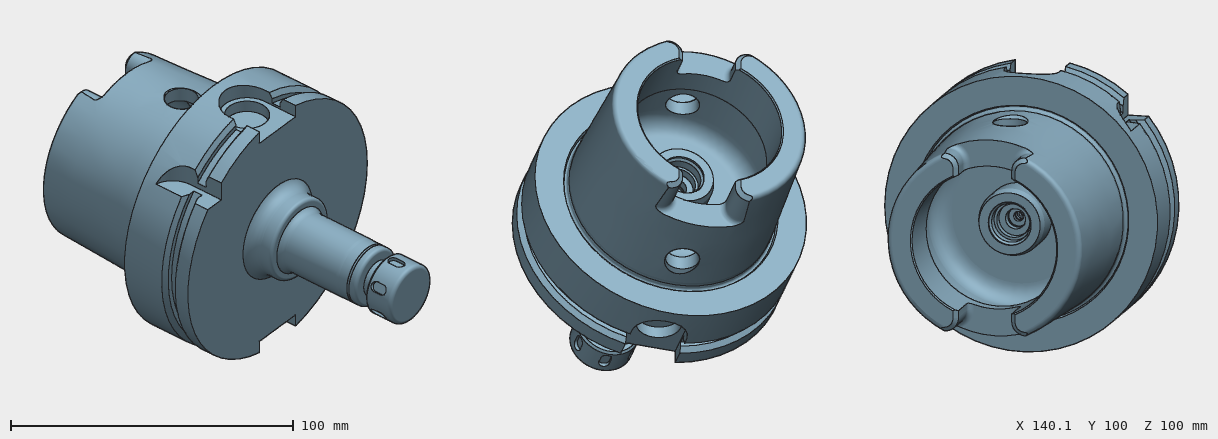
import cadquery as cq
import math


shank_length = 50.0
gauge_distance = 10.0
gauge_radius = 37.5
taper_slope = 1 / 19.96
shank_rim_radius = 1.9

relief_start = -2.5
relief_floor_start = -1.6
relief_floor_end = -0.8
relief_depth = 0.15
face_groove_outer_radius = 39.5
face_groove_fillet = 1.0

flange_radius = 50.0
flange_width = 29.0
groove_start = 17.0
groove_end = 23.2
groove_bevel_width = 1.25
groove_bevel_height = groove_bevel_width * math.tan(math.radians(60))
groove_root_radius = 46.0

neck_radius = 16.0
neck_fillet_end = 34.2
neck_fillet_start_radius = 19.3
neck_end = 39.2
neck_corner_radius = 1.3

nose_radius = 11.5
nose_fillet_start_radius = 12.9
nose_fillet_end = 42.2
nose_cone_start = 65.0
nose_cone_end = 66.2
nose_front_radius = 11.4
nose_ring_start = 70.0
nose_ring_end = 70.9
nose_ring_depth = 0.1
nose_end = 74.15
nose_corner_radius = 1.3
stem_radius = 7.0

nut_start = 78.5
nut_end = 90.1
nut_back_chamfer = 0.8
nut_front_radius = 1.5
nut_slot_count = 6
nut_slot_center = 83.4
nut_slot_length = 6.6
nut_slot_width = 3.8
nut_slot_depth = 1.4

bore_radius = 26.5
bore_mouth_chamfer = 0.5
chamber_start = -30.5
chamber_radius = 31.5
chamber_floor = -3.0
chamber_floor_fillet = 7.0

boss_radius = 12.1
boss_tip = -15.5
boss_shoulder = -12.7
boss_tip_radius = 11.2
socket_mouth_radius = 15.65 / 2
socket_chamfer = 0.8
coolant_steps = [
    (socket_mouth_radius - socket_chamfer, 5.0),
    (12.1 / 2, 8.0),
    (7.3 / 2, 11.0),
    (7.0 / 2, 12.0),
    (3.5 / 2, 14.0),
    (3.0 / 2, 16.0),
    (1.7 / 2, 18.0),
]

drive_slot_half_width = 9.75
drive_slot_corner_height = 27.3
drive_slot_corner_radius = 5.0
drive_slot_floor_fillet = 2.1
drive_slot_chamfer_width = 1.65
drive_slot_chamfer_depth = 1.4
drive_slot_depth_top = 10.0
drive_slot_depth_bottom = 15.0

cross_hole_radius = 6.0
cross_hole_position = -15.0
countersink_start = 36.65
countersink_half_angle = 60.0

keyway_radius = 10.0
keyway_center = 15.0
keyway_floor = 44.0
keyway_hole_radius = 8.0
keyway_hole_depth = 4.6
notch_wall = 31.4


def shank_radius(x):
    """Radius of the taper at position x."""
    return gauge_radius + taper_slope * (x + gauge_distance)


def tangent_fillet_radius(width, height):
    """Radius of an arc that leaves a straight line tangentially and rises by height over width."""
    return (width**2 + height**2) / (2 * height)


def disc(x, radius, length):
    """Cylinder about the X axis that starts at x."""
    return cq.Workplane("YZ", origin=(x, 0, 0)).circle(radius).extrude(length)


def revolve_about_x(profile):
    return profile.close().revolve(360, (0, 0, 0), (1, 0, 0))


def make_shank():
    tip = -shank_length
    relief_radius = shank_radius(relief_start) - relief_depth
    profile = (
        cq.Workplane("XY")
        .moveTo(tip, 0)
        .lineTo(tip, shank_radius(tip))
        .lineTo(relief_start, shank_radius(relief_start))
        .lineTo(relief_floor_start, relief_radius)
        .lineTo(relief_floor_end, relief_radius)
        .lineTo(0, shank_radius(0))
        .lineTo(0, 0)
    )
    return revolve_about_x(profile)


def drive_slot_outline(workplane, side, growth):
    """Draw the slot outline, widened on all sides by growth, with round corners on the lugs."""
    width = drive_slot_half_width + growth
    corner = drive_slot_corner_radius - growth
    start = drive_slot_corner_height - 2 * drive_slot_corner_radius
    shoulder = drive_slot_corner_height + corner
    reach = flange_radius
    bend = corner * math.sqrt(0.5)
    bend_y = width + corner - bend
    bend_z = drive_slot_corner_height + bend
    return (
        workplane.moveTo(-width, side * start)
        .lineTo(-width, side * drive_slot_corner_height)
        .threePointArc((-bend_y, side * bend_z), (-width - corner, side * shoulder))
        .lineTo(-reach, side * shoulder)
        .lineTo(-reach, side * reach)
        .lineTo(reach, side * reach)
        .lineTo(reach, side * shoulder)
        .lineTo(width + corner, side * shoulder)
        .threePointArc((bend_y, side * bend_z), (width, side * drive_slot_corner_height))
        .lineTo(width, side * start)
        .close()
    )


def drive_slot(side, depth):
    """Cutter for one slot; side is +1 for the top slot and -1 for the bottom slot."""
    mouth = cq.Workplane("YZ", origin=(-shank_length, 0, 0))
    slot = drive_slot_outline(mouth, side, 0).extrude(depth)
    slot = slot.faces(">X").edges().fillet(drive_slot_floor_fillet)
    flare = drive_slot_outline(mouth, side, drive_slot_chamfer_width)
    flare = flare.workplane(offset=drive_slot_chamfer_depth)
    flare = drive_slot_outline(flare, side, 0).loft(ruled=True)
    return slot.union(flare)


def make_flange_and_nose():
    neck_fillet = tangent_fillet_radius(
        neck_fillet_end - flange_width, neck_fillet_start_radius - neck_radius
    )
    nose_fillet = tangent_fillet_radius(
        nose_fillet_end - neck_end, nose_fillet_start_radius - nose_radius
    )
    bevel_root = flange_radius - groove_bevel_height
    nose_ring_radius = nose_front_radius - nose_ring_depth
    profile = (
        cq.Workplane("XY")
        .moveTo(0, 0)
        .lineTo(0, flange_radius)
        .lineTo(groove_start, flange_radius)
        .lineTo(groove_start + groove_bevel_width, bevel_root)
        .lineTo(groove_start + groove_bevel_width, groove_root_radius)
        .lineTo(groove_end - groove_bevel_width, groove_root_radius)
        .lineTo(groove_end - groove_bevel_width, bevel_root)
        .lineTo(groove_end, flange_radius)
        .lineTo(flange_width, flange_radius)
        .lineTo(flange_width, neck_fillet_start_radius)
        .radiusArc((neck_fillet_end, neck_radius), -neck_fillet)
        .lineTo(neck_end - neck_corner_radius, neck_radius)
        .radiusArc((neck_end, neck_radius - neck_corner_radius), neck_corner_radius)
        .lineTo(neck_end, nose_fillet_start_radius)
        .radiusArc((nose_fillet_end, nose_radius), -nose_fillet)
        .lineTo(nose_cone_start, nose_radius)
        .lineTo(nose_cone_end, nose_front_radius)
        .lineTo(nose_ring_start, nose_front_radius)
        .lineTo(nose_ring_start, nose_ring_radius)
        .lineTo(nose_ring_end, nose_ring_radius)
        .lineTo(nose_ring_end, nose_front_radius)
        .lineTo(nose_end - nose_corner_radius, nose_front_radius)
        .radiusArc((nose_end, nose_front_radius - nose_corner_radius), nose_corner_radius)
        .lineTo(nose_end, stem_radius)
        .lineTo(nut_start, stem_radius)
        .lineTo(nut_start, 0)
    )
    return revolve_about_x(profile)


def make_nut():
    nut = disc(nut_start, nose_radius, nut_end - nut_start)
    nut = nut.faces("<X").edges().chamfer(nut_back_chamfer)
    nut = nut.faces(">X").edges().fillet(nut_front_radius)
    slot = (
        cq.Workplane("XY", origin=(nut_slot_center, 0, nose_radius - nut_slot_depth))
        .slot2D(nut_slot_length, nut_slot_width)
        .extrude(2 * nut_slot_depth)
    )
    for index in range(nut_slot_count):
        angle = index * 360 / nut_slot_count
        nut = nut.cut(slot.rotate((0, 0, 0), (1, 0, 0), angle))
    return nut


def make_bore():
    """Cutter for the hollow of the shank; the coolant boss stays standing on its floor."""
    tip = -shank_length
    profile = (
        cq.Workplane("XY")
        .moveTo(tip, 0)
        .lineTo(tip, bore_radius + bore_mouth_chamfer)
        .lineTo(tip + bore_mouth_chamfer, bore_radius)
        .lineTo(chamber_start, bore_radius)
        .lineTo(chamber_start, chamber_radius)
        .lineTo(chamber_floor - chamber_floor_fillet, chamber_radius)
        .radiusArc((chamber_floor, chamber_radius - chamber_floor_fillet), chamber_floor_fillet)
        .lineTo(chamber_floor, boss_radius)
        .lineTo(boss_shoulder, boss_radius)
        .lineTo(boss_tip, boss_tip_radius)
        .lineTo(boss_tip, 0)
    )
    return revolve_about_x(profile)


def make_coolant_hole():
    """Cutter for the stepped blind hole in the boss, bevelled at its mouth."""
    hole = (
        disc(boss_tip, socket_mouth_radius, socket_chamfer * 2)
        .faces(">X")
        .edges()
        .chamfer(socket_chamfer)
    )
    for radius, depth in coolant_steps:
        hole = hole.union(disc(boss_tip, radius, depth))
    return hole


def make_face_groove():
    """Cutter for the ring groove in the flange face, rounded where it runs out of the shank."""
    inner_radius = shank_radius(0)
    profile = (
        cq.Workplane("XY")
        .moveTo(0, face_groove_outer_radius)
        .lineTo(face_groove_fillet, inner_radius + face_groove_fillet)
        .radiusArc((0, inner_radius), face_groove_fillet)
    )
    return revolve_about_x(profile)


def make_cross_hole():
    """Cutter for the hole across the shank."""
    floor = cq.Workplane("XY", origin=(cross_hole_position, 0, 0))
    return floor.circle(cross_hole_radius).extrude(flange_radius, both=True)


def make_countersink(side):
    """Cutter for the countersink of one cross hole; side is +1 for top, -1 for bottom."""
    height = flange_radius - countersink_start
    cone = cq.Solid.makeCone(
        cross_hole_radius,
        cross_hole_radius + height * math.tan(math.radians(countersink_half_angle)),
        height,
        pnt=cq.Vector(cross_hole_position, 0, side * countersink_start),
        dir=cq.Vector(0, 0, side),
    )
    return cq.Workplane(cone)


def make_keyway(side):
    """Cutter for a round-ended keyway and its blind hole; side is +1 for top, -1 for bottom."""
    floor = cq.Workplane("XY", origin=(keyway_center, 0, side * keyway_floor))
    height = side * (flange_radius - keyway_floor)
    length = flange_width - keyway_center
    round_end = floor.circle(keyway_radius).extrude(height)
    straight = floor.center(length / 2, 0).rect(length, 2 * keyway_radius).extrude(height)
    hole = floor.circle(keyway_hole_radius).extrude(-side * keyway_hole_depth)
    return round_end.union(straight).union(hole)


def make_notch():
    """Cutter for the orientation notch on the -Y, +Z shoulder of the flange."""
    length = flange_width - keyway_center
    height = flange_radius - notch_wall
    floor = cq.Workplane("XY", origin=(keyway_center, -notch_wall - keyway_radius, notch_wall))
    round_end = floor.circle(keyway_radius).extrude(height)
    straight = floor.center(length / 2, 0).rect(length, 2 * keyway_radius).extrude(height)
    return round_end.union(straight)


bore = make_bore()
boss = disc(boss_tip, boss_radius, chamber_floor - boss_tip).cut(bore)
shank = make_shank().faces("<X").edges().fillet(shank_rim_radius)
flange = make_flange_and_nose().cut(make_face_groove()).cut(make_notch())
for side, slot_depth in ((1, drive_slot_depth_top), (-1, drive_slot_depth_bottom)):
    shank = shank.cut(drive_slot(side, slot_depth))
    flange = flange.cut(make_keyway(side))
shank = shank.cut(make_cross_hole())
for side in (1, -1):
    shank = shank.cut(make_countersink(side))
shank = shank.union(boss).cut(bore)
result = shank.union(flange).union(make_nut()).cut(make_coolant_hole())